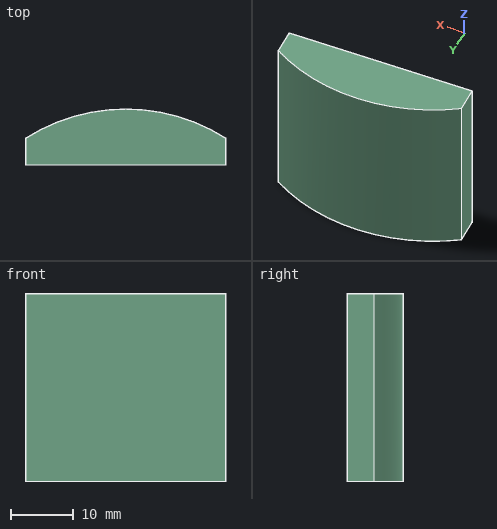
import cadquery as cq

width = 32.0
height = 30.0
center_thickness = 9.0
edge_thickness = 4.32

half_width = width / 2

profile = (
    cq.Workplane("XY")
    .moveTo(-half_width, 0)
    .lineTo(half_width, 0)
    .lineTo(half_width, edge_thickness)
    .threePointArc((0, center_thickness), (-half_width, edge_thickness))
    .close()
)

result = profile.extrude(height)